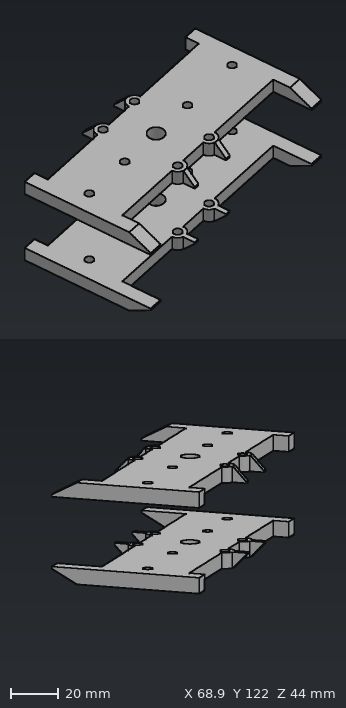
import cadquery as cq

plate_width = 39.0
plate_length = 122.0
plate_thickness = 7.0
overall_height = 44.0
plate_gap = overall_height - 2 * plate_thickness
back_edge_y = 64.2
front_edge_y = back_edge_y - plate_length

arm_width = 7.1
arm_left_x = -26.5
arm_right_x = 39.5
arm_ramp_start_x = 28.3
arm_tip_thickness = 1.0

boss_diameter = 8.0
boss_x = plate_width / 2
boss_y = 11.2
fin_width = 2.7
fin_tip_x = 29.4
fin_tip_thickness = 0.9

centre_hole_diameter = 8.0
screw_hole_diameter = 4.1
inner_hole_y = 2 * boss_y
back_hole_y = 54.3
front_hole_y = -47.7

boss_centres = [(x, y) for x in (-boss_x, boss_x) for y in (-boss_y, boss_y)]
midline_holes = [(0, y) for y in (front_hole_y, -inner_hole_y, inner_hole_y, back_hole_y)]


def extrude_along_y(profile, start_y, width):
    """Extrude an (x, z) profile from start_y towards +Y."""
    return cq.Workplane("XZ", origin=(0, start_y, 0)).polyline(profile).close().extrude(-width)


def make_arm(start_y):
    """Bar across the plate whose right end ramps down to a thin tip on the inner face."""
    profile = [
        (arm_left_x, 0),
        (arm_right_x, 0),
        (arm_right_x, arm_tip_thickness),
        (arm_ramp_start_x, plate_thickness),
        (arm_left_x, plate_thickness),
    ]
    return extrude_along_y(profile, start_y, arm_width)


def make_fin(side, centre_y):
    """Fin that slopes from the outer edge of a boss to its tip; side is -1 (left) or 1 (right)."""
    boss_edge_x = boss_x + boss_diameter / 2
    profile = [
        (side * boss_x, 0),
        (side * fin_tip_x, 0),
        (side * fin_tip_x, fin_tip_thickness),
        (side * boss_edge_x, plate_thickness),
        (side * boss_x, plate_thickness),
    ]
    return extrude_along_y(profile, centre_y - fin_width / 2, fin_width)


def make_upper_plate():
    """Plate with its inner face on z = 0 and its outer face on top."""
    plate = (
        cq.Workplane("XY")
        .center(0, (back_edge_y + front_edge_y) / 2)
        .rect(plate_width, plate_length)
        .extrude(plate_thickness)
    )
    for start_y in (front_edge_y, back_edge_y - arm_width):
        plate = plate.union(make_arm(start_y))

    bosses = cq.Workplane("XY").pushPoints(boss_centres).circle(boss_diameter / 2).extrude(plate_thickness)
    plate = plate.union(bosses)
    for side in (-1, 1):
        for centre_y in (-boss_y, boss_y):
            plate = plate.union(make_fin(side, centre_y))

    screw_holes = (
        cq.Workplane("XY")
        .pushPoints(boss_centres + midline_holes)
        .circle(screw_hole_diameter / 2)
        .extrude(plate_thickness)
    )
    centre_hole = cq.Workplane("XY").circle(centre_hole_diameter / 2).extrude(plate_thickness)
    return plate.cut(screw_holes).cut(centre_hole)


upper_plate = make_upper_plate().translate((0, 0, plate_gap / 2))
lower_plate = upper_plate.mirror("XY")

result = cq.Compound.makeCompound([upper_plate.val(), lower_plate.val()])